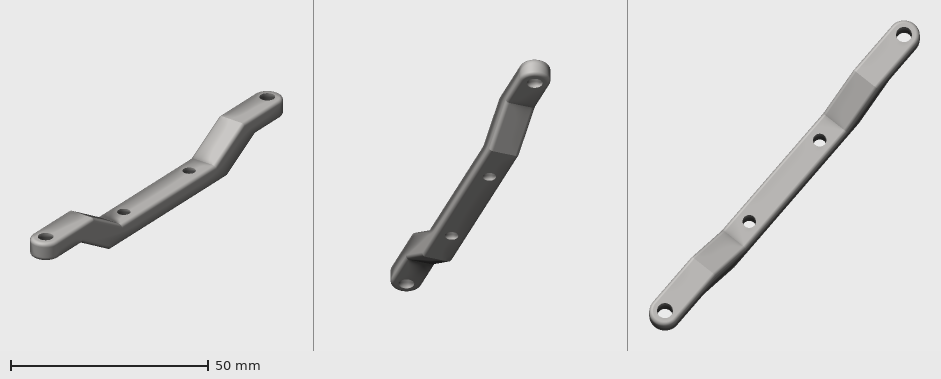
import cadquery as cq
import math

length = 103.0
width = 8.0
height = 12.0
thickness = 5.0
edge_radius = 1.0

slope_angle = 30.0
top_inner_y = 20.0
bottom_inner_y = 25.0

end_hole_diameter = 4.0
middle_hole_diameter = 3.4
middle_hole_y = 14.0

half_length = length / 2
half_width = width / 2
rise = height - thickness
run = rise / math.tan(math.radians(slope_angle))
end_center_y = half_length - half_width


def side_profile_body():
    """Cranked side profile in the YZ plane, extruded across the width."""
    right_bottom = [(bottom_inner_y, 0), (bottom_inner_y + run, rise), (half_length, rise)]
    right_top = [(half_length, height), (top_inner_y + run, height), (top_inner_y, thickness)]
    right = right_bottom + right_top
    left = [(-y, z) for y, z in reversed(right)]
    return cq.Workplane("YZ").polyline(right + left).close().extrude(half_width, both=True)


def plan_body():
    """Plan outline along Y with fully rounded ends, extruded to the full height."""
    outline = cq.Workplane("XY").slot2D(length, width, angle=90)
    return outline.extrude(height)


def round_long_edges(body):
    """Round the edges along both sides and around the ends, on top and underneath."""
    return body.edges("not(|X or |Z)").fillet(edge_radius)


def drill_pair(body, y, diameter):
    """Drill two vertical through holes placed symmetrically about the middle."""
    cutter = (
        cq.Workplane("XY")
        .pushPoints([(0, -y), (0, y)])
        .circle(diameter / 2)
        .extrude(height)
    )
    return body.cut(cutter)


bar = round_long_edges(side_profile_body().intersect(plan_body()))
bar = drill_pair(bar, end_center_y, end_hole_diameter)
result = drill_pair(bar, middle_hole_y, middle_hole_diameter)